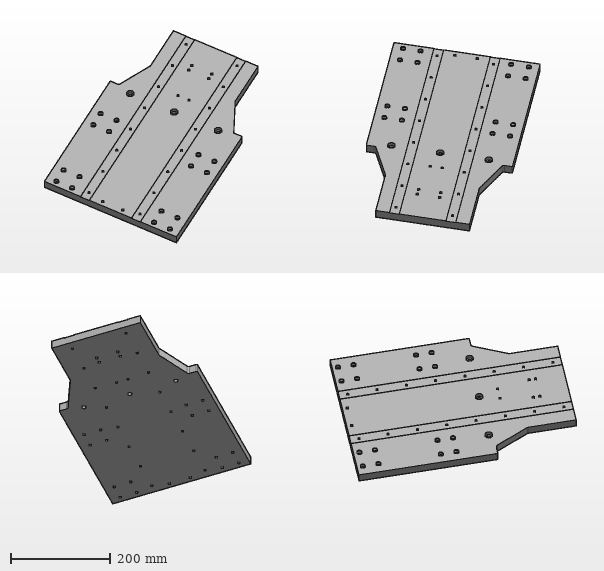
import cadquery as cq
import math

length = 456.0
width = 300.0
thickness = 20.0
neck_width = 192.5
neck_start_y = 356.0
shoulder_y = 285.0
shoulder_inner_x = 130.5
shoulder_corner_radius = 2.5
shoulder_root_radius = 5.0
neck_corner_radius = 2.5

rail_center_x = 58.0
rail_seat_width = 20.0
rail_seat_depth = 1.0
rail_hole_count = 8
rail_hole_end_margin = 18.0
rail_hole_diameter = 4.25

center_hole_diameter = 5.0
center_hole_x = 23.0
center_hole_ys = (10.0, 382.5, 396.0)
pin_hole_diameter = 4.25
pin_hole_x = 12.5
pin_hole_y = 316.0

large_bore_diameter = 8.0
large_counterbore_diameter = 15.0
large_counterbore_depth = 8.5
large_row_x = 100.0
large_row_y = 276.0

small_bore_diameter = 5.0
small_countersink_diameter = 10.0
small_countersink_angle = 90
small_recess_depth = 2.7
small_hole_xs = (93.0, 129.0)
small_group_start_ys = (12.0, 172.0)
small_group_pitch_y = 32.0


def mirrored(points):
    """Return the points together with their mirror images about X = 0."""
    return points + [(-x, y) for x, y in points]


def vertical_edges_at(body, points):
    """Select the full-height edges of the plate standing on the given points."""
    reach = 0.5
    edges = cq.Workplane("XY")
    for x, y in points:
        low_corner = (x - reach, y - reach, -reach)
        high_corner = (x + reach, y + reach, thickness + reach)
        box = cq.selectors.BoxSelector(low_corner, high_corner)
        edges = edges.add(body.edges("|Z").edges(box))
    return edges


def make_plate():
    half_outline = [
        (width / 2, 0),
        (width / 2, shoulder_y),
        (shoulder_inner_x, shoulder_y),
        (neck_width / 2, neck_start_y),
        (neck_width / 2, length),
    ]
    other_half = [(-x, y) for x, y in reversed(half_outline)]
    plate = cq.Workplane("XY").polyline(half_outline + other_half).close().extrude(thickness)
    rounded_corners = (
        (half_outline[1], shoulder_corner_radius),
        (half_outline[2], shoulder_root_radius),
        (half_outline[3], neck_corner_radius),
    )
    for corner, radius in rounded_corners:
        edges = vertical_edges_at(plate, mirrored([corner])).vals()
        plate = plate.newObject([plate.val().fillet(radius, edges)])
    return plate


def rail_seats():
    return (
        cq.Workplane("XY", origin=(0, length / 2, thickness))
        .pushPoints(mirrored([(rail_center_x, 0)]))
        .rect(rail_seat_width, length)
        .extrude(-rail_seat_depth)
    )


def through_holes(points, diameter):
    return cq.Workplane("XY").pushPoints(points).circle(diameter / 2).extrude(thickness)


def counterbored_holes(points, bore_diameter, counterbore_diameter, counterbore_depth):
    counterbores = (
        cq.Workplane("XY", origin=(0, 0, thickness))
        .pushPoints(points)
        .circle(counterbore_diameter / 2)
        .extrude(-counterbore_depth)
    )
    return through_holes(points, bore_diameter).union(counterbores)


def countersunk_holes(points, bore_diameter, countersink_diameter, included_angle, recess_depth):
    """Through bores, each opening upward into a cone and then a straight round recess."""
    bore_radius = bore_diameter / 2
    countersink_radius = countersink_diameter / 2
    half_angle = math.radians(included_angle / 2)
    cone_depth = (countersink_radius - bore_radius) / math.tan(half_angle)
    cone = cq.Solid.makeCone(bore_radius, countersink_radius, cone_depth)
    cones = (
        cq.Workplane("XY", origin=(0, 0, thickness - recess_depth - cone_depth))
        .pushPoints(points)
        .eachpoint(lambda place: cone.moved(place))
    )
    recessed_bores = counterbored_holes(points, bore_diameter, countersink_diameter, recess_depth)
    return recessed_bores.union(cones)


rail_hole_pitch = (length - 2 * rail_hole_end_margin) / (rail_hole_count - 1)
rail_holes = mirrored(
    [(rail_center_x, rail_hole_end_margin + i * rail_hole_pitch) for i in range(rail_hole_count)]
)
center_holes = mirrored([(center_hole_x, y) for y in center_hole_ys])
pin_holes = mirrored([(pin_hole_x, pin_hole_y)])
large_holes = [(x, large_row_y) for x in (-large_row_x, 0, large_row_x)]
small_holes = mirrored(
    [
        (x, start_y + step_y)
        for x in small_hole_xs
        for start_y in small_group_start_ys
        for step_y in (0, small_group_pitch_y)
    ]
)

result = (
    make_plate()
    .cut(rail_seats())
    .cut(through_holes(rail_holes, rail_hole_diameter))
    .cut(through_holes(center_holes, center_hole_diameter))
    .cut(through_holes(pin_holes, pin_hole_diameter))
    .cut(
        counterbored_holes(
            large_holes, large_bore_diameter, large_counterbore_diameter, large_counterbore_depth
        )
    )
    .cut(
        countersunk_holes(
            small_holes,
            small_bore_diameter,
            small_countersink_diameter,
            small_countersink_angle,
            small_recess_depth,
        )
    )
)